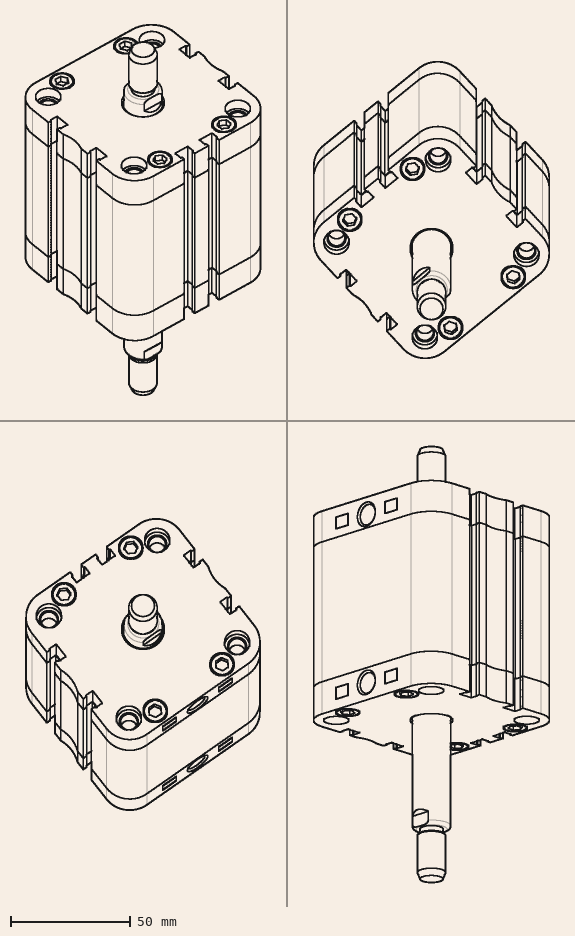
import cadquery as cq
import math


side = 77.0
half_side = side / 2
corner_radius = 12.1
lower_cover_height = 14.2
barrel_height = 61.6
upper_cover_height = 13.6
barrel_bottom = lower_cover_height
barrel_top = barrel_bottom + barrel_height
housing_top = barrel_top + upper_cover_height

slot_mouth_width = 5.7
slot_inner_width = 6.8
slot_depth = 5.1
slot_lip = 1.7
cover_slot_extra_depth = 0.2
paired_slot_offset = 12.9
side_slot_offset = 6.6
hollow_width = 12.0
hollow_depth = 1.1

rod_diameter = 16.0
thread_diameter = 12.0
neck_diameter = 9.8
overall_length = 189
upper_reach = 29.7
lower_reach = overall_length - upper_reach - housing_top
thread_length = 19.7
neck_length = 2.3
tip_chamfer_length = 2.8
tip_chamfer_width = 1.1
thread_end_chamfer = 0.5
shoulder_rounding = 1.5
flat_across = 13.0
flat_length = 5.3

cover_bore_diameter = 16.6
flare_diameter = 18.0

mount_offset = 28.2
mount_entry_diameter = 10.5
mount_entry_depth = 4.7
mount_chamfer_diameter = 8.0
mount_core_diameter = 7.0
mount_core_depth = 13.2

screw_x = 32.1
screw_y = 17.4
screw_recess_diameter = 10.2
screw_head_diameter = 9.3
screw_gap_depth = 1.0
socket_across_flats = 5.1
socket_depth = 2.8

upper_port_distance = 7.5
lower_port_distance = 7.7
port_diameter = 8.9
port_rim_diameter = 10.5
port_depth = 13.2
panel_offset = 14.5
panel_width = 7.0
panel_height = 5.1
panel_depth = 0.2
panel_distance = 7.2


def box(x_size, y_size, z_size, center):
    """A rectangular block around a center point."""
    return cq.Workplane("XY").box(x_size, y_size, z_size).translate(center)


def cylinder(diameter, z_from, z_to):
    """A round bar on the Z axis."""
    return cq.Workplane("XY").workplane(offset=z_from).circle(diameter / 2).extrude(z_to - z_from)


def slot_cutter(offset, height, depth):
    """A T-shaped slot open towards +Y at x = offset."""
    mouth = cq.Workplane("XY").rect(slot_mouth_width, 2 * depth).extrude(height)
    inside = (
        cq.Workplane("XY")
        .center(0, -(depth + slot_lip) / 2)
        .rect(slot_inner_width, depth - slot_lip)
        .extrude(height)
    )
    return mouth.union(inside).translate((offset, half_side, 0))


def hollow_cutter(height):
    """A shallow circular hollow along the middle of the +Y side."""
    half_width = hollow_width / 2
    radius = (half_width**2 + hollow_depth**2) / (2 * hollow_depth)
    return (
        cq.Workplane("XY")
        .center(0, half_side - hollow_depth + radius)
        .circle(radius)
        .extrude(height)
    )


def profile_block(z_from, height, bore_diameter, slot_extra_depth=0):
    """A length of the grooved square profile with a bore for the rod."""
    block = cq.Workplane("XY").rect(side, side).extrude(height).edges("|Z").fillet(corner_radius)
    for turn in (0, 180):
        for offset in (-paired_slot_offset, paired_slot_offset):
            slot = slot_cutter(offset, height, slot_depth + slot_extra_depth)
            block = block.cut(slot.rotate((0, 0, 0), (0, 0, 1), turn))
        block = block.cut(hollow_cutter(height).rotate((0, 0, 0), (0, 0, 1), turn))
    for offset in (-side_slot_offset, side_slot_offset):
        slot = slot_cutter(offset, height, slot_depth + slot_extra_depth)
        block = block.cut(slot.rotate((0, 0, 0), (0, 0, 1), -90))
    block = block.cut(cylinder(bore_diameter, 0, height))
    return block.translate((0, 0, z_from))


def taper(top_diameter, bottom_diameter, z_top):
    """A 45 degree cone narrowing downwards from z_top on the Z axis."""
    depth = (top_diameter - bottom_diameter) / 2
    return (
        cq.Workplane("XY")
        .workplane(offset=z_top)
        .circle(top_diameter / 2)
        .workplane(offset=-depth)
        .circle(bottom_diameter / 2)
        .loft()
    )


def mounting_hole(x, y):
    """A counterbored blind hole with a chamfered core, going down from z = 0."""
    entry = cylinder(mount_entry_diameter, -mount_entry_depth, 0)
    core = cylinder(mount_core_diameter, -mount_core_depth, 0)
    chamfer = taper(mount_chamfer_diameter, mount_core_diameter, -mount_entry_depth)
    return entry.union(core).union(chamfer).translate((x, y, 0))


def screw_recess(x, y):
    """The gap around a flush screw head and its hexagon socket, going down from z = 0."""
    head = cylinder(screw_head_diameter, -screw_gap_depth, 0)
    gap = cylinder(screw_recess_diameter, -screw_gap_depth, 0).cut(head)
    corner_diameter = socket_across_flats / math.cos(math.pi / 6)
    socket = cq.Workplane("XY").polygon(6, corner_diameter).extrude(-socket_depth)
    if x < 0:
        socket = socket.rotate((0, 0, 0), (0, 0, 1), 30)
    return gap.union(socket).translate((x, y, 0))


def end_cutters():
    """All that is cut into the outer face of a cover lying at z = 0 and facing up."""
    cutter = taper(flare_diameter, cover_bore_diameter, 0)
    for x_sign in (-1, 1):
        for y_sign in (-1, 1):
            cutter = cutter.union(mounting_hole(x_sign * mount_offset, y_sign * mount_offset))
            cutter = cutter.union(screw_recess(x_sign * screw_x, y_sign * screw_y))
    return cutter


def port(z):
    """A blind air port with a chamfered rim on the -X side."""
    rim = (port_rim_diameter - port_diameter) / 2
    return (
        cq.Workplane("XZ")
        .polyline([
            (-half_side, z),
            (-half_side, z + port_rim_diameter / 2),
            (-half_side + rim, z + port_diameter / 2),
            (-half_side + port_depth, z + port_diameter / 2),
            (-half_side + port_depth, z),
        ])
        .close()
        .revolve(360, (0, z, 0), (1, z, 0))
    )


def panels(z):
    """Two shallow rectangular panels beside a port."""
    left = box(2 * panel_depth, panel_width, panel_height, (-half_side, panel_offset, z))
    return left.union(left.mirror("XZ"))


def rod_end(reach):
    """One end of the rod, from z = 0 up to its threaded tip at z = reach."""
    rod_radius = rod_diameter / 2
    thread_radius = thread_diameter / 2
    neck_radius = neck_diameter / 2
    thread_start = reach - thread_length
    shoulder = thread_start - neck_length
    bevel = rod_radius - flat_across / 2
    flat_start = shoulder - flat_length
    arc_middle = shoulder_rounding * math.sqrt(0.5)
    end = (
        cq.Workplane("XZ")
        .moveTo(0, 0)
        .lineTo(rod_radius, 0)
        .lineTo(rod_radius, shoulder - shoulder_rounding)
        .threePointArc(
            (rod_radius - shoulder_rounding + arc_middle, shoulder - shoulder_rounding + arc_middle),
            (rod_radius - shoulder_rounding, shoulder),
        )
        .lineTo(neck_radius, shoulder)
        .lineTo(neck_radius, thread_start)
        .lineTo(thread_radius - thread_end_chamfer, thread_start)
        .lineTo(thread_radius, thread_start + thread_end_chamfer)
        .lineTo(thread_radius, reach - tip_chamfer_length)
        .lineTo(thread_radius - tip_chamfer_width, reach)
        .lineTo(0, reach)
        .close()
        .revolve(360, (0, 0, 0), (0, 1, 0))
    )
    flat = (
        cq.Workplane("XZ")
        .polyline([
            (flat_across / 2, shoulder),
            (flat_across / 2, flat_start),
            (flat_across / 2 + bevel, flat_start - bevel),
            (rod_diameter, flat_start - bevel),
            (rod_diameter, shoulder),
        ])
        .close()
        .extrude(rod_radius, both=True)
    )
    return end.cut(flat).cut(flat.mirror("YZ"))


def flipped(shape):
    """The mirror image of a shape below z = 0."""
    return shape.mirror("XY")


face_cutters = end_cutters()

barrel = profile_block(barrel_bottom, barrel_height, rod_diameter)

upper_cover = (
    profile_block(barrel_top, upper_cover_height, cover_bore_diameter, cover_slot_extra_depth)
    .cut(face_cutters.translate((0, 0, housing_top)))
    .cut(port(housing_top - upper_port_distance))
    .cut(panels(housing_top - panel_distance))
)

lower_cover = (
    profile_block(0, lower_cover_height, cover_bore_diameter, cover_slot_extra_depth)
    .cut(flipped(face_cutters))
    .cut(port(lower_port_distance))
    .cut(panels(panel_distance))
)

rod = (
    cylinder(rod_diameter, 0, housing_top)
    .union(rod_end(upper_reach).translate((0, 0, housing_top)))
    .union(flipped(rod_end(lower_reach)))
)

result = cq.Compound.makeCompound([barrel.val(), upper_cover.val(), lower_cover.val(), rod.val()])